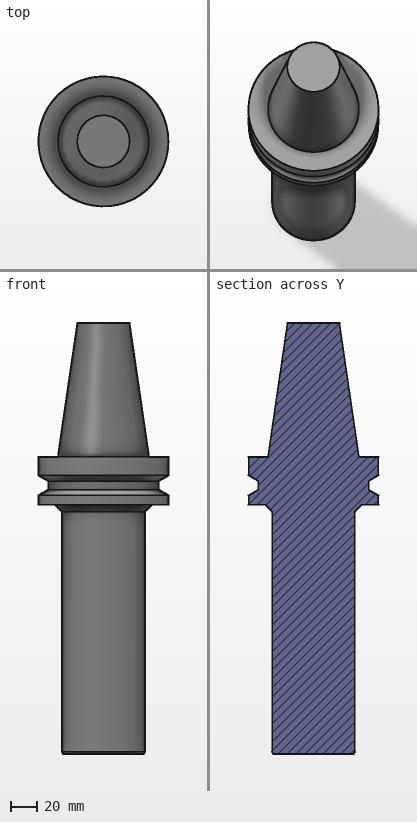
import cadquery as cq
import math

total_height = 330.8
gauge_height = 229.0
flange_top = 228.0
groove_top = 213.7
groove_bottom = 198.5
flange_bottom = 191.2

shank_diameter = 64.0
collar_diameter = 74.5
gauge_diameter = 69.8
groove_diameter = 85.0
flange_diameter = 100.0

taper_ratio = 7 / 24
groove_flank_angle = 30.0

end_chamfer_width = 1.0
end_chamfer_height = 1.5

shank_radius = shank_diameter / 2
collar_radius = collar_diameter / 2
gauge_radius = gauge_diameter / 2
groove_radius = groove_diameter / 2
flange_radius = flange_diameter / 2
tip_radius = gauge_radius - (total_height - gauge_height) * taper_ratio / 2

flank_height = (flange_radius - groove_radius) * math.tan(math.radians(groove_flank_angle))
collar_bottom = flange_bottom - (collar_radius - shank_radius)

half_section = [
    (0, 0),
    (shank_radius - end_chamfer_width, 0),
    (shank_radius, end_chamfer_height),
    (shank_radius, collar_bottom),
    (collar_radius, flange_bottom),
    (flange_radius, flange_bottom),
    (flange_radius, groove_bottom),
    (groove_radius, groove_bottom + flank_height),
    (groove_radius, groove_top - flank_height),
    (flange_radius, groove_top),
    (flange_radius, flange_top),
    (gauge_radius, flange_top),
    (gauge_radius, gauge_height),
    (tip_radius, total_height),
    (0, total_height),
]

result = cq.Workplane("XZ").polyline(half_section).close().revolve(360, (0, 0), (0, 1))